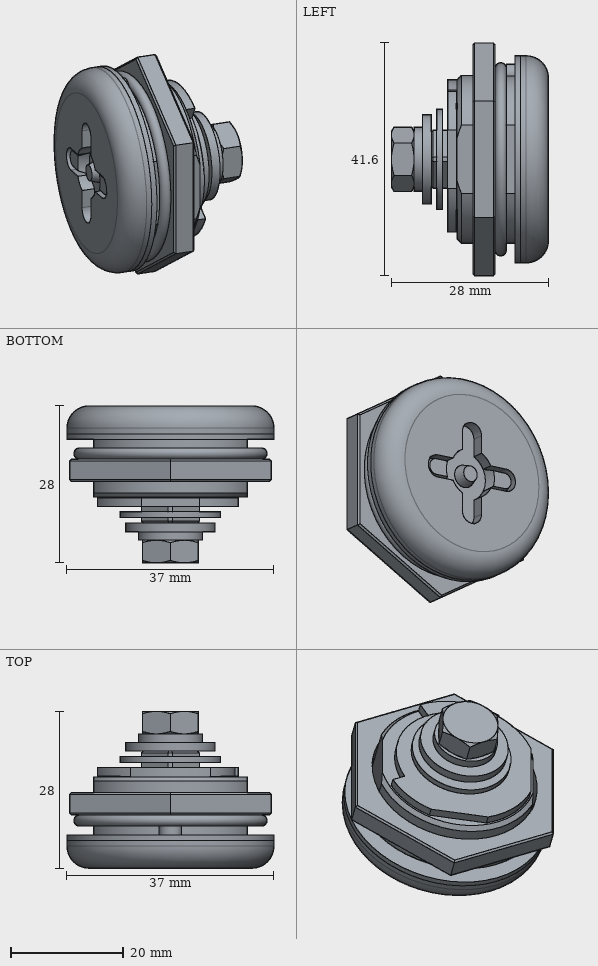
import cadquery as cq
import math


cap_back = 5.0
flange_back = 6.0
oring_front = 7.52
nut_front = 9.5
nut_back = 13.5
barrel_back = 16.3
cam_front = 16.4
cam_back = 18.0
lock_washer_front = 18.87
lock_washer_back = 19.95
stem_back = 20.9
bolt_washer_back = 22.5
bolt_collar_back = 24.0
bolt_back = 28.0

cap_radius = 18.5
cap_fillet = 4.0
shaft_radius = 8.98
cam_radius = 14.0
cam_flat_distance = 13.0
cam_relief_radius = 11.5
cam_relief_start = -30
stem_half_diagonal = 5.2
stem_corner_half_width = 0.4
stem_end_chamfer = 0.35

recess_depth = 2.4
recess_hub_radius = 4.57
key_slot_half_width = 2.08
key_slot_reach = 9.45
lug_top_depth = 0.45
lug_inset = 0.62

barrel_radius = 15.0
barrel_end_chamfer = 0.75
barrel_flat_distance = 13.7
locating_pin_radius = 2.0
stop_start, stop_end = 60, 120

nut_across_corners = 41.55
nut_chamfer = 0.35
oring_section_radius = (nut_front - oring_front) / 2
oring_outer_radius = 17.25
lock_washer_radius = 8.98
bolt_washer_radius = 8.0
bolt_collar_radius = 5.75
bolt_across_flats = 9.98
bolt_head_cone_angle = 30
hexagon_half_angle = 180 / 6


def section_at(y):
    """Workplane across the lock axis, with local x along X and local y along Z."""
    return cq.Workplane("XZ", origin=(0, y, 0))


def disc(radius, front, back):
    return section_at(front).circle(radius).extrude(front - back)


def hexagon(across_corners, front, back):
    """Hexagonal prism with two of its corners on the Z axis."""
    prism = section_at(front).polygon(6, across_corners).extrude(front - back)
    return prism.rotate((0, 0, 0), (0, 1, 0), hexagon_half_angle)


def box_between(x_min, x_max, z_min, z_max, front, back):
    return cq.Workplane("XY").box(
        x_max - x_min, back - front, z_max - z_min, centered=False
    ).translate((x_min, front, z_min))


def ring_sector(inner, outer, start, end, front, back):
    """Part of a ring between two angles, counted from +X towards +Z."""

    def polar(radius, angle):
        turn = math.radians(angle)
        return radius * math.cos(turn), radius * math.sin(turn)

    middle = (start + end) / 2
    return (
        section_at(front)
        .moveTo(*polar(inner, start))
        .lineTo(*polar(outer, start))
        .threePointArc(polar(outer, middle), polar(outer, end))
        .lineTo(*polar(inner, end))
        .threePointArc(polar(inner, middle), polar(inner, start))
        .close()
        .extrude(front - back)
    )


def square_stem(front, back):
    """Square bar set on its corners, each corner cut flat."""
    far, near = stem_half_diagonal, stem_corner_half_width
    outline = [
        (far, -near), (far, near), (near, far), (-near, far),
        (-far, near), (-far, -near), (-near, -far), (near, -far),
    ]
    return section_at(front).polyline(outline).close().extrude(front - back)


def key_recess():
    """Hub circle crossed by an upright and a sideways slot."""
    hub = disc(recess_hub_radius, 0, recess_depth)
    slots = [
        section_at(0).slot2D(2 * key_slot_reach, 2 * key_slot_half_width, angle).extrude(-recess_depth)
        for angle in (0, 90)
    ]
    return hub.union(slots[0]).union(slots[1])


def tapered_from_recess_floor(sketch):
    height = recess_depth - lug_top_depth
    taper = math.degrees(math.atan(lug_inset / height))
    return sketch.extrude(height, taper=taper)


def centre_pin():
    return tapered_from_recess_floor(section_at(recess_depth).circle(key_slot_half_width))


def side_lug(side):
    """Lug filling one sideways slot arm (side is +1 or -1), tapered on all its walls."""
    half = key_slot_half_width
    hub_edge = math.sqrt(recess_hub_radius**2 - half**2)
    outline = (
        section_at(recess_depth)
        .moveTo(side * hub_edge, -half)
        .lineTo(side * (key_slot_reach - half), -half)
        .threePointArc((side * key_slot_reach, 0), (side * (key_slot_reach - half), half))
        .lineTo(side * hub_edge, half)
        .threePointArc((side * recess_hub_radius, 0), (side * hub_edge, -half))
        .close()
    )
    return tapered_from_recess_floor(outline)


def make_cap():
    cap = disc(cap_radius, 0, cap_back).faces("<Y").edges().fillet(cap_fillet)
    cap = cap.cut(key_recess()).union(centre_pin())
    for side in (-1, 1):
        cap = cap.union(side_lug(side))
    return cap


def make_cam():
    """Disc with flats at -X and -Z, relieved over the arc that the housing stop travels in."""
    cam = disc(cam_radius, cam_front, cam_back)
    cam = cam.intersect(
        box_between(-cam_flat_distance, cam_radius, -cam_flat_distance, cam_radius, cam_front, cam_back)
    )
    relief = ring_sector(
        cam_relief_radius, 2 * cam_radius, cam_relief_start, stop_end, cam_front, cam_back
    )
    return cam.cut(relief)


def make_spindle():
    shaft = disc(shaft_radius, cap_back, cam_front)
    stem = square_stem(cam_back, stem_back).faces(">Y").chamfer(stem_end_chamfer)
    return make_cap().union(shaft).union(make_cam()).union(stem)


def make_housing():
    barrel = disc(barrel_radius, flange_back, barrel_back).faces(">Y").chamfer(barrel_end_chamfer)
    barrel = barrel.intersect(
        box_between(
            -barrel_flat_distance, barrel_flat_distance, -barrel_radius, barrel_radius,
            flange_back, barrel_back,
        )
    )
    flange = disc(cap_radius, cap_back, flange_back)
    locating_pin = disc(locating_pin_radius, flange_back, oring_front).translate((0, 0, barrel_radius))
    stop = ring_sector(
        cam_relief_radius, barrel_radius - barrel_end_chamfer, stop_start, stop_end, barrel_back, cam_back
    )
    bore = disc(shaft_radius, cap_back, barrel_back)
    return barrel.union(flange).union(locating_pin).union(stop).cut(bore)


def make_oring():
    centre_radius = oring_outer_radius - oring_section_radius
    return (
        cq.Workplane("XY")
        .center(centre_radius, oring_front + oring_section_radius)
        .circle(oring_section_radius)
        .revolve(360, (-centre_radius, 0, 0), (-centre_radius, 1, 0))
    )


def make_nut():
    nut = hexagon(nut_across_corners, nut_front, nut_back).faces("<Y or >Y").chamfer(nut_chamfer)
    return nut.cut(disc(barrel_radius, nut_front, nut_back))


def make_lock_washer():
    washer = disc(lock_washer_radius, lock_washer_front, lock_washer_back)
    return washer.cut(square_stem(lock_washer_front, lock_washer_back))


def bolt_head():
    """Hexagon with its corners turned off by a cone at both ends."""
    across_corners = bolt_across_flats / math.cos(math.radians(hexagon_half_angle))
    corner_radius = across_corners / 2
    face_radius = bolt_across_flats / 2
    cone_height = (corner_radius - face_radius) * math.tan(math.radians(bolt_head_cone_angle))
    envelope = (
        cq.Workplane("XY")
        .polyline([
            (0, bolt_collar_back),
            (face_radius, bolt_collar_back),
            (corner_radius, bolt_collar_back + cone_height),
            (corner_radius, bolt_back - cone_height),
            (face_radius, bolt_back),
            (0, bolt_back),
        ])
        .close()
        .revolve(360, (0, 0, 0), (0, 1, 0))
    )
    return hexagon(across_corners, bolt_collar_back, bolt_back).intersect(envelope)


def make_bolt():
    washer = disc(bolt_washer_radius, stem_back, bolt_washer_back)
    collar = disc(bolt_collar_radius, bolt_washer_back, bolt_collar_back)
    return washer.union(collar).union(bolt_head())


spindle = make_spindle()
housing = make_housing()
oring = make_oring()
nut = make_nut()
lock_washer = make_lock_washer()
bolt = make_bolt()

result = cq.Compound.makeCompound([
    spindle.val(),
    housing.val(),
    oring.val(),
    nut.val(),
    lock_washer.val(),
    bolt.val(),
])